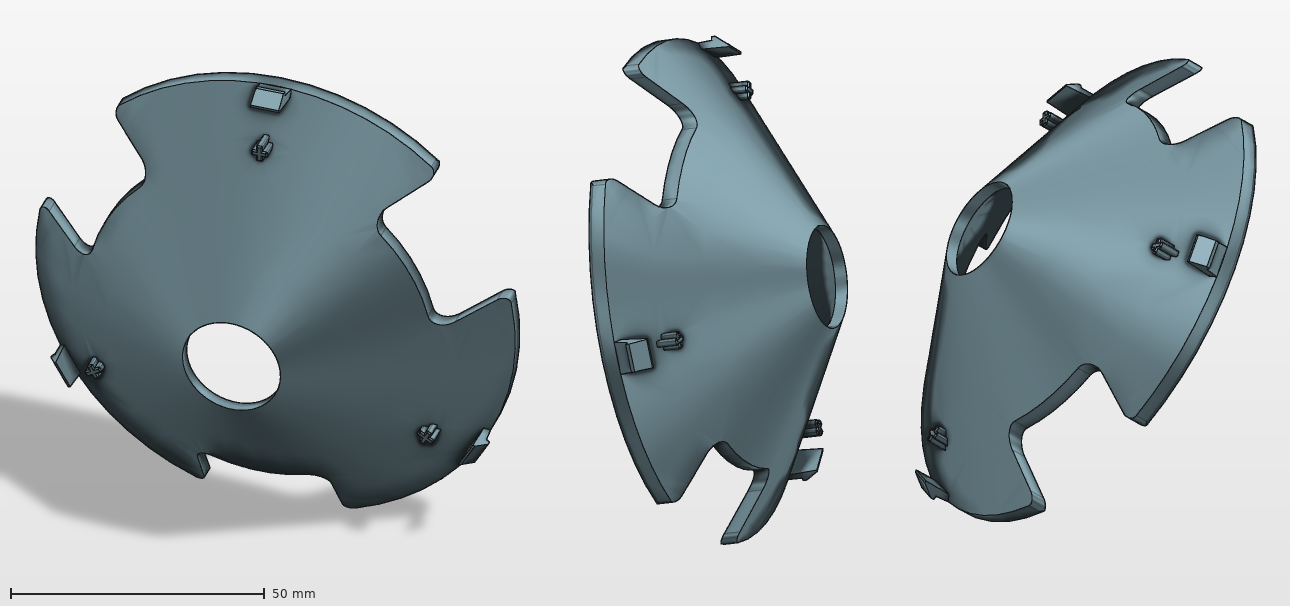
import cadquery as cq
import math

rim_radius = 50.0
bore_radius = 10.2
depth = 29.6
rim_width = 3.3
bore_wall = 2.6
rim_bevel_length = 0.6
rim_bevel_depth = 0.2

lobe_count = 3
lobe_spacing = 360 / lobe_count
notch_floor_radius = 36.1
notch_floor_half_width = 13.9
notch_rim_half_width = 14.6
notch_root_fillet = 3.3
lobe_corner_fillet = 1.7

hook_underside = 48.5
hook_peak = 51.0
neck_root = 49.9
neck_end = 50.2
catch_start = 6.1
catch_end = 6.8
hook_reach = 9.9
hook_tip_thickness = 0.4
hook_root_width = 7.2
hook_tip_width = 6.0
hook_side_draft = 8.0

pin_radius = 40.0
pin_reach = 13.1
pin_upright_length = 3.6
pin_crossbar_length = 3.3
pin_arm_width = 1.3
pin_edge_fillet = 0.3
pin_tip_chamfer = 0.3

cone_slope = (depth - rim_width) / (rim_radius - bore_radius)


def outer_depth(radius):
    """Depth of the outer cone surface below the back face."""
    return rim_width + cone_slope * (rim_radius - radius)


def revolved_shell():
    """Cone shell with a short cylindrical rim, bevelled at the sharp back edge."""
    return (
        cq.Workplane("YZ")
        .polyline([
            (0, rim_radius - rim_bevel_depth),
            (-rim_bevel_length, rim_radius),
            (-rim_width, rim_radius),
            (-depth, bore_radius),
            (bore_wall - depth, bore_radius),
        ])
        .close()
        .revolve(360, (0, 0), (1, 0))
    )


def notch():
    """Flared slot at the bottom of the rim, ending on a round floor."""
    flare = (notch_rim_half_width - notch_floor_half_width) / (rim_radius - notch_floor_radius)
    far = rim_radius + 10
    near = notch_floor_radius / 2

    def half_width(radius):
        return notch_floor_half_width + flare * (radius - notch_floor_radius)

    wedge = (
        cq.Workplane("XZ")
        .polyline([
            (-half_width(near), -near),
            (half_width(near), -near),
            (half_width(far), -far),
            (-half_width(far), -far),
        ])
        .close()
        .extrude(depth)
    )
    return wedge.cut(cq.Workplane("XZ").circle(notch_floor_radius).extrude(depth))


def around_axis(body):
    """Copies of a body at every lobe."""
    copies = body
    for index in range(1, lobe_count):
        copies = copies.union(body.rotate((0, 0, 0), (0, 1, 0), index * lobe_spacing))
    return copies


def lobed_outline():
    """Prism with the three-lobed outline seen along the axis."""
    prism = cq.Workplane("XZ").circle(rim_radius).extrude(depth).cut(around_axis(notch()))
    middle_radius = (rim_radius + notch_floor_radius) / 2
    lobe_corners = []
    notch_roots = []
    for edge in prism.edges("|Y").vals():
        center = edge.Center()
        distance = math.hypot(center.x, center.z)
        if distance < middle_radius:
            notch_roots.append(edge)
        else:
            lobe_corners.append(edge)
    solid = prism.val().fillet(lobe_corner_fillet, lobe_corners)
    solid = solid.fillet(notch_root_fillet, notch_roots)
    return cq.Workplane(obj=solid)


def hook():
    """Snap hook on the top lobe: a neck rising from the rim, then a catch with a sloped nose."""
    root = rim_width / 2
    profile = (
        cq.Workplane("YZ")
        .polyline([
            (-root, hook_underside),
            (-rim_width, neck_root),
            (-catch_start, neck_end),
            (-catch_start, hook_peak),
            (-catch_end, hook_peak),
            (-hook_reach, hook_underside + hook_tip_thickness),
            (-hook_reach, hook_underside),
        ])
        .close()
        .extrude(hook_root_width, both=True)
    )
    plan = (
        cq.Workplane("XY", origin=(0, 0, hook_underside))
        .polyline([
            (-hook_root_width / 2, -root),
            (hook_root_width / 2, -root),
            (hook_tip_width / 2, -hook_reach),
            (-hook_tip_width / 2, -hook_reach),
        ])
        .close()
        .extrude(hook_peak - hook_underside, taper=hook_side_draft)
    )
    return profile.intersect(plan)


def pin():
    """Cross-shaped pin on the top lobe, parallel to the axis."""
    base = outer_depth(pin_radius + pin_upright_length / 2) - bore_wall / 2
    length = pin_reach - base
    plane = cq.Workplane("XZ", origin=(0, -base, pin_radius))

    def arm(size_x, size_z, end_edges):
        bar = plane.rect(size_x, size_z).extrude(length)
        bar = bar.edges("|Y").fillet(pin_edge_fillet)
        return bar.faces("<Y").edges(end_edges).chamfer(pin_tip_chamfer)

    upright = arm(pin_arm_width, pin_upright_length, "<Z")
    crossbar = arm(pin_crossbar_length, pin_arm_width, "<X or >X")
    return upright.union(crossbar)


shell = revolved_shell().intersect(lobed_outline())
result = shell.union(around_axis(pin())).union(around_axis(hook()))